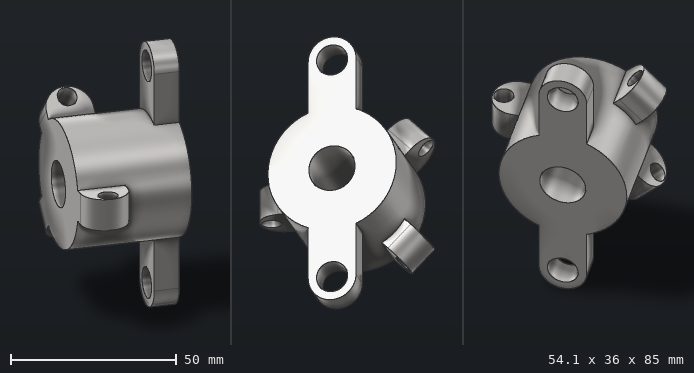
import cadquery as cq

body_diameter = 40.0
body_length = 35.95
bore_diameter = 14.4

overall_height = 85.0
ear_width = 15.0
ear_thickness = 8.0
ear_hole_diameter = 9.6
ear_hole_offset = (overall_height - ear_width) / 2

lug_width = 15.0
lug_thickness = 10.0
lug_reach = 29.6
lug_hole_diameter = 6.0
lug_hole_offset = 26.1
lug_angles = (0, 135, 225)


def cylinder_along_y(diameter, length):
    return cq.Workplane("XZ").circle(diameter / 2).extrude(-length)


def mounting_ears():
    """One round-ended bar spanning both ears, drilled at each end."""
    rear_plane = cq.Workplane("XZ", origin=(0, body_length, 0))
    bar = rear_plane.slot2D(overall_height, ear_width, 90).extrude(ear_thickness)
    holes = (
        rear_plane.pushPoints([(0, ear_hole_offset), (0, -ear_hole_offset)])
        .circle(ear_hole_diameter / 2)
        .extrude(ear_thickness)
    )
    return bar.cut(holes)


def radial_lug(angle):
    """Round-ended lug along +X, its hole nearer the tip, turned about the Y axis."""
    end_radius = lug_width / 2
    end_center = lug_reach - end_radius
    lug = (
        cq.Workplane("XY")
        .lineTo(end_center, 0)
        .threePointArc((lug_reach, end_radius), (end_center, lug_width))
        .lineTo(0, lug_width)
        .close()
        .extrude(lug_thickness / 2, both=True)
    )
    hole = (
        cq.Workplane("XY")
        .center(lug_hole_offset, end_radius)
        .circle(lug_hole_diameter / 2)
        .extrude(lug_thickness / 2, both=True)
    )
    return lug.cut(hole).rotate((0, 0, 0), (0, 1, 0), angle)


result = cylinder_along_y(body_diameter, body_length).union(mounting_ears())
for lug_angle in lug_angles:
    result = result.union(radial_lug(lug_angle))
result = result.cut(cylinder_along_y(bore_diameter, body_length))